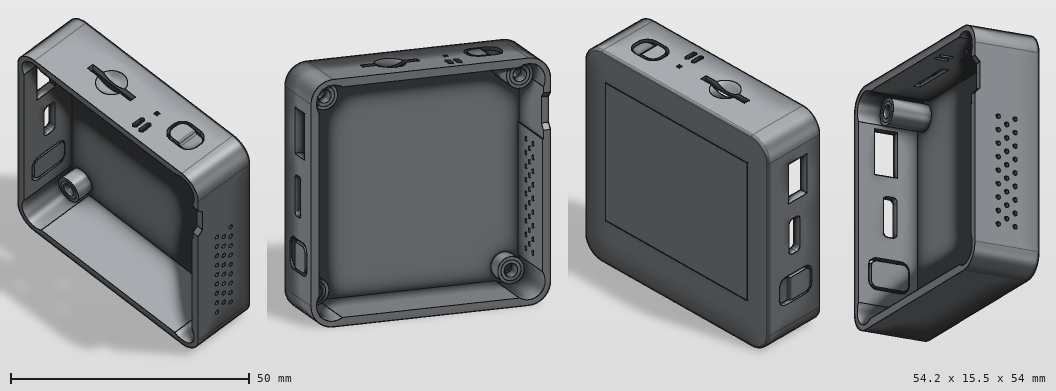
import cadquery as cq


side = 54.0
depth = 15.4
corner_radius = 5.0
back_fillet = 0.5
wall = 1.85
back_thickness = 1.35
cavity_depth = depth - back_thickness
half_side = side / 2
cut_margin = 0.55

screen_width = 41.7
screen_height = 35.2
screen_center_z = 1.8
screen_rise = 0.1
screen_recess = 0.4

boss_offset = half_side - corner_radius
boss_radius = 3.0
lower_boss_height = 4.0
upper_boss_height = 9.0
relief_radius = 3.75
insert_radius = 2.3
insert_mouth_radius = 1.5
insert_mouth_depth = 0.5
insert_length = 3.0
bore_radius = 1.35
hole_cone_height = 0.8

thin_wall = 1.6
thin_wall_bottom_z = 9.0
notch_bottom_z = 10.9
notch_top_z = 19.05
notch_depth = 1.25
speaker_hole_diameter = 1.0
speaker_row_pitch = 3.0
speaker_column_pitch = 2.0
speaker_center_y = 7.5
speaker_center_z = -5.45
speaker_middle_rows = 8

cable_port_width = 5.45
cable_port_height = 10.1
cable_port_center_y = 6.55
cable_port_center_z = 13.95
usb_width = 3.2
usb_height = 9.0
usb_corner_radius = 1.0
usb_center_y = 7.5

card_slot_length = 12.7
card_slot_width = 1.5
card_slot_center_x = -6.35
card_slot_center_y = 7.25
dish_radius = 3.35
dish_depth = 1.1
microphone_slot_width = 1.1
microphone_slot_length = 3.1
microphone_slot_centers_x = (5.5, 7.45)
microphone_slot_center_y = 3.5
reset_hole_side = 0.85
reset_hole_center_x = 6.45
reset_hole_center_y = 8.0

button_gap = 0.65
button_end_gap = 0.15

side_button_length = 9.65
side_button_width = 7.1
side_button_corner_radius = 2.05
side_button_rise = 0.15
side_button_tab_drop = 0.45
side_button_ramp_start = 1.5
side_button_ramp_length = 0.6
side_button_center_y = 7.2
side_button_center_z = -13.0
side_button_plane = cq.Plane(
    origin=(-half_side, side_button_center_y, side_button_center_z),
    xDir=(0, 1, 0),
    normal=(-1, 0, 0),
)

top_button_length = 7.9
top_button_width = 6.25
top_button_corner_radius = 2.6
top_button_rise = 0.0
top_button_tab_drop = 0.65
top_button_ramp_start = 0.15
top_button_ramp_length = 0.85
top_button_center_x = 15.0
top_button_center_y = 8.0
top_button_plane = cq.Plane(
    origin=(top_button_center_x, top_button_center_y, half_side),
    xDir=(1, 0, 0),
    normal=(0, 0, 1),
)

boss_centers = [(sx * boss_offset, sz * boss_offset) for sx in (-1, 1) for sz in (-1, 1)]


def rounded_block(length, width, height, radius):
    """Block standing on z = 0 with rounded vertical edges."""
    return cq.Workplane("XY").rect(length, width).extrude(height).edges("|Z").fillet(radius)


def place(shape, plane):
    """Move a shape from the axes it was made in to the axes of a plane."""
    return cq.Workplane(obj=shape.val().moved(cq.Location(plane)))


def cylinder_y(x, z, radius, start_y, end_y):
    """Cylinder along Y between two depths."""
    return cq.Workplane("XY").add(
        cq.Solid.makeCylinder(radius, end_y - start_y, cq.Vector(x, start_y, z), cq.Vector(0, 1, 0))
    )


def box_between(x0, x1, y0, y1, z0, z1):
    """Box given by its lower and upper limits along each axis."""
    return cq.Workplane("XY").box(x1 - x0, y1 - y0, z1 - z0, centered=False).translate((x0, y0, z0))


def square_block_y(width, radius, length):
    """Block of square section, rounded along Y, from y = 0 to y = length."""
    section = cq.Workplane("XZ").rect(width, width).extrude(-length)
    return section.edges("|Y").fillet(radius)


def boss_top(z):
    """Depth of the free end of a boss; the upper bosses are taller than the lower ones."""
    return cavity_depth - (upper_boss_height if z > 0 else lower_boss_height)


def make_shell():
    """Open box with a round relief in each inner corner and a thinner stretch of the +X wall."""
    shell = square_block_y(side, corner_radius, depth).faces(">Y").edges().fillet(back_fillet)
    shell = shell.cut(square_block_y(side - 2 * wall, corner_radius - wall, cavity_depth))
    for x, z in boss_centers:
        shell = shell.cut(cylinder_y(x, z, relief_radius, 0, cavity_depth))
    thinning = box_between(
        half_side - wall - cut_margin,
        half_side - thin_wall,
        0,
        cavity_depth,
        thin_wall_bottom_z,
        boss_offset,
    )
    return shell.cut(thinning)


def add_boss(shell, x, z):
    """Boss with a seat for the insert and a further hole below it, conical in the upper bosses."""
    boss_top_y = boss_top(z)
    shell = shell.union(cylinder_y(x, z, boss_radius, boss_top_y, cavity_depth))
    insert_end_y = boss_top_y + insert_length
    shell = shell.cut(cylinder_y(x, z, insert_radius, boss_top_y, insert_end_y))
    if z < 0:
        return shell.cut(cylinder_y(x, z, bore_radius, insert_end_y, cavity_depth))
    cone = cq.Solid.makeCone(
        bore_radius, 0, hole_cone_height, cq.Vector(x, insert_end_y, z), cq.Vector(0, 1, 0)
    )
    return shell.cut(cq.Workplane(obj=cone))


def cut_rim_notch(shell):
    """Notch with 45 degree ends in the rim of the +X wall."""
    notch = (
        cq.Workplane("YZ", origin=(half_side - wall - cut_margin, 0, 0))
        .moveTo(0, notch_bottom_z)
        .lineTo(notch_depth, notch_bottom_z + notch_depth)
        .lineTo(notch_depth, notch_top_z - notch_depth)
        .lineTo(0, notch_top_z)
        .close()
        .extrude(wall + 2 * cut_margin)
    )
    return shell.cut(notch)


def cut_speaker_holes(shell):
    """Three columns of holes; the outer two have one more hole and are half a pitch out of step."""
    points = []
    for column in (-1, 0, 1):
        rows = speaker_middle_rows + abs(column)
        for row in range(rows):
            y = speaker_center_y + column * speaker_column_pitch
            z = speaker_center_z + (row - (rows - 1) / 2) * speaker_row_pitch
            points.append((y, z))
    holes = (
        cq.Workplane("YZ", origin=(half_side - wall - cut_margin, 0, 0))
        .pushPoints(points)
        .circle(speaker_hole_diameter / 2)
        .extrude(wall + 2 * cut_margin)
    )
    return shell.cut(holes)


def cut_side_ports(shell):
    """Cable port and USB port through the -X wall."""
    wall_plane = cq.Workplane("YZ", origin=(-half_side, 0, 0))
    cable_port = (
        wall_plane.center(cable_port_center_y, cable_port_center_z)
        .rect(cable_port_width, cable_port_height)
        .extrude(wall)
    )
    usb_port = wall_plane.center(usb_center_y, 0).rect(usb_width, usb_height).extrude(wall)
    return shell.cut(cable_port).cut(usb_port.edges("|X").fillet(usb_corner_radius))


def cut_top_openings(shell):
    """Card slot with its finger dish, microphone slots and reset hole in the top wall."""
    wall_plane = cq.Workplane("XY", origin=(0, 0, half_side))
    card_slot = (
        wall_plane.center(card_slot_center_x, card_slot_center_y)
        .rect(card_slot_length, card_slot_width)
        .extrude(-wall)
    )
    sphere_radius = (dish_radius**2 + dish_depth**2) / (2 * dish_depth)
    dish = cq.Workplane("XY").sphere(sphere_radius).translate(
        (card_slot_center_x, card_slot_center_y, half_side + sphere_radius - dish_depth)
    )
    microphone_slots = (
        wall_plane.pushPoints([(x, microphone_slot_center_y) for x in microphone_slot_centers_x])
        .slot2D(microphone_slot_length, microphone_slot_width, 90)
        .extrude(-wall)
    )
    reset_hole = (
        wall_plane.center(reset_hole_center_x, reset_hole_center_y)
        .rect(reset_hole_side, reset_hole_side)
        .extrude(-wall)
    )
    return shell.cut(card_slot).cut(dish).cut(microphone_slots).cut(reset_hole)


def button_opening(plane, length, width, radius):
    """Rounded opening through the wall around a button."""
    return place(rounded_block(length, width, wall, radius).translate((0, 0, -wall)), plane)


def make_button(plane, length, width, radius, rise, tab_drop, ramp_start, ramp_length):
    """Button as thick as the wall; the gap at its tab end is the narrow one."""
    cap_length = length - button_gap - button_end_gap
    cap_width = width - 2 * button_gap
    outline = rounded_block(cap_length, cap_width, wall + rise, radius - button_gap)
    outline = outline.translate(((button_gap - button_end_gap) / 2, 0, -wall))
    ramp_end = ramp_start + ramp_length
    middle = (ramp_start + ramp_length / 2, (rise - tab_drop) / 2)
    profile = (
        cq.Workplane("XZ", origin=(0, width / 2, 0))
        .moveTo(-length / 2, -wall)
        .lineTo(-length / 2, rise)
        .lineTo(ramp_start, rise)
        .tangentArcPoint(middle, relative=False)
        .tangentArcPoint((ramp_end, -tab_drop), relative=False)
        .lineTo(length / 2, -tab_drop)
        .lineTo(length / 2, -wall)
        .close()
        .extrude(width)
    )
    return place(outline.intersect(profile), plane)


def make_screen():
    """Thin screen plate set into the back and standing slightly proud of it."""
    return box_between(
        -screen_width / 2,
        screen_width / 2,
        depth - screen_recess,
        depth + screen_rise,
        screen_center_z - screen_height / 2,
        screen_center_z + screen_height / 2,
    )


def make_insert(x, z):
    """Threaded insert with a bore that tapers in from its mouth."""
    boss_top_y = boss_top(z)
    end_y = boss_top_y + insert_length
    sleeve = cylinder_y(x, z, insert_radius, boss_top_y, end_y)
    mouth = cq.Solid.makeCone(
        insert_mouth_radius,
        bore_radius,
        insert_mouth_depth,
        cq.Vector(x, boss_top_y, z),
        cq.Vector(0, 1, 0),
    )
    return sleeve.cut(cylinder_y(x, z, bore_radius, boss_top_y, end_y)).cut(cq.Workplane(obj=mouth))


screen = make_screen()

housing = make_shell()
for boss_x, boss_z in boss_centers:
    housing = add_boss(housing, boss_x, boss_z)
housing = cut_rim_notch(housing)
housing = cut_speaker_holes(housing)
housing = cut_side_ports(housing)
housing = cut_top_openings(housing)
housing = housing.cut(
    button_opening(side_button_plane, side_button_length, side_button_width, side_button_corner_radius)
)
housing = housing.cut(
    button_opening(top_button_plane, top_button_length, top_button_width, top_button_corner_radius)
)
housing = housing.cut(screen)

side_button = make_button(
    side_button_plane,
    side_button_length,
    side_button_width,
    side_button_corner_radius,
    side_button_rise,
    side_button_tab_drop,
    side_button_ramp_start,
    side_button_ramp_length,
)
top_button = make_button(
    top_button_plane,
    top_button_length,
    top_button_width,
    top_button_corner_radius,
    top_button_rise,
    top_button_tab_drop,
    top_button_ramp_start,
    top_button_ramp_length,
)
inserts = [make_insert(x, z) for x, z in boss_centers]

result = cq.Compound.makeCompound(
    [
        housing.val(),
        screen.val(),
        side_button.val(),
        top_button.val(),
        *[insert.val() for insert in inserts],
    ]
)